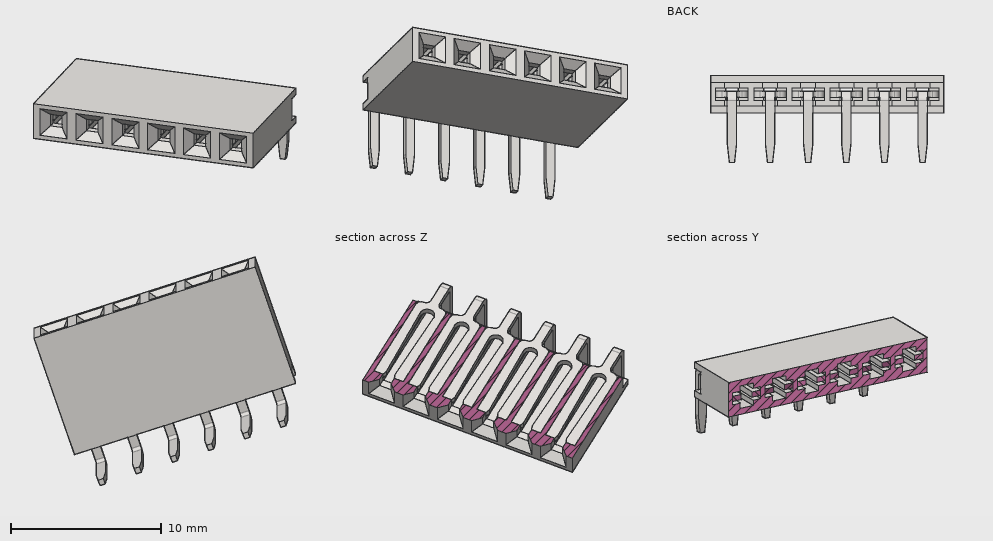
import cadquery as cq
import math


PIN_COUNT = 6
ROW_SPAN = 12.7
PITCH = ROW_SPAN / (PIN_COUNT - 1)
ROW_X = [i * PITCH - ROW_SPAN / 2 for i in range(PIN_COUNT)]

HOUSING_LENGTH = 15.54
HOUSING_DEPTH = 8.5
HOUSING_HEIGHT = 2.5
FRONT_WALL = 1.07
SLOT_DEPTH = 0.8
SLOT_HEIGHT = 1.57
SLOT_FLOOR_Y = HOUSING_DEPTH - SLOT_DEPTH
MOUTH_SIZE = 1.91
THROAT_SIZE = 0.82
FUNNEL_DEPTH = (MOUTH_SIZE - THROAT_SIZE) / 2

PIN_WIDTH = 0.64
PIN_THICKNESS = 0.4
REAR_Y = 10.2
TOTAL_HEIGHT = 5.8
BOTTOM_Z = HOUSING_HEIGHT / 2 - TOTAL_HEIGHT
BEND_RADIUS = 0.62
TIP_WIDTH = 0.35
TIP_LENGTH = 1.26

FLARE_START_Y = 8.19
FLARE_RADIUS = 0.34
SHOULDER_RADIUS = 0.42
ROOT_RADIUS = 0.5
BASE_THICKNESS = 0.4
LEAD_IN_LENGTH = 0.31
GRIP_GAP = PIN_WIDTH
LEAD_IN_GAP = THROAT_SIZE
FORK_FRONT_Y = FRONT_WALL
FORK_HALF_WIDTH = PIN_WIDTH / 2 + FLARE_RADIUS + SHOULDER_RADIUS

ARC_MIDDLE = math.sqrt(0.5)


def make_housing():
    housing = cq.Workplane("XY").box(
        HOUSING_LENGTH, HOUSING_DEPTH, HOUSING_HEIGHT, centered=(True, False, True)
    )
    rear_slot = (
        cq.Workplane("XY")
        .box(HOUSING_LENGTH, SLOT_DEPTH, SLOT_HEIGHT, centered=(True, False, True))
        .translate((0, SLOT_FLOOR_Y, 0))
    )
    housing = housing.cut(rear_slot)
    for x in ROW_X:
        housing = housing.cut(make_contact_opening().translate((x, 0, 0)))
    return housing


def make_contact_opening():
    """A square funnel and throat, then a chamber with a cross-shaped section, open to the slot."""
    funnel = (
        cq.Workplane("XZ")
        .rect(MOUTH_SIZE, MOUTH_SIZE)
        .workplane(offset=-FUNNEL_DEPTH)
        .rect(THROAT_SIZE, THROAT_SIZE)
        .loft(ruled=True)
    )
    throat = make_passage(THROAT_SIZE, THROAT_SIZE, 0)
    fork_chamber = make_passage(2 * FORK_HALF_WIDTH, THROAT_SIZE, FRONT_WALL)
    mating_chamber = make_passage(2 * ROOT_RADIUS, SLOT_HEIGHT, FRONT_WALL)
    return funnel.union(throat).union(fork_chamber).union(mating_chamber)


def make_passage(width, height, start_y):
    """A rectangular passage from start_y to the floor of the rear slot."""
    return (
        cq.Workplane("XY")
        .box(width, SLOT_FLOOR_Y - start_y, height, centered=(True, False, True))
        .translate((0, start_y, 0))
    )


def make_pin():
    return make_tail().union(make_fork())


def make_tail():
    """The flat shank, its downward bend and the tapered leg."""
    half_thickness = PIN_THICKNESS / 2
    front_y = REAR_Y - PIN_THICKNESS
    inner_radius = BEND_RADIUS - PIN_THICKNESS
    bend_y = REAR_Y - BEND_RADIUS
    bend_z = half_thickness - BEND_RADIUS
    strip = (
        cq.Workplane("YZ")
        .moveTo(FLARE_START_Y, half_thickness)
        .lineTo(bend_y, half_thickness)
        .threePointArc(
            (bend_y + BEND_RADIUS * ARC_MIDDLE, bend_z + BEND_RADIUS * ARC_MIDDLE),
            (REAR_Y, bend_z),
        )
        .lineTo(REAR_Y, BOTTOM_Z)
        .lineTo(front_y, BOTTOM_Z)
        .lineTo(front_y, bend_z)
        .threePointArc(
            (bend_y + inner_radius * ARC_MIDDLE, bend_z + inner_radius * ARC_MIDDLE),
            (bend_y, -half_thickness),
        )
        .lineTo(FLARE_START_Y, -half_thickness)
        .close()
        .extrude(PIN_WIDTH / 2, both=True)
    )
    outline = (
        cq.Workplane("XZ")
        .moveTo(-PIN_WIDTH / 2, half_thickness)
        .lineTo(-PIN_WIDTH / 2, BOTTOM_Z + TIP_LENGTH)
        .lineTo(-TIP_WIDTH / 2, BOTTOM_Z)
        .lineTo(TIP_WIDTH / 2, BOTTOM_Z)
        .lineTo(PIN_WIDTH / 2, BOTTOM_Z + TIP_LENGTH)
        .lineTo(PIN_WIDTH / 2, half_thickness)
        .close()
        .extrude(-REAR_Y)
    )
    return strip.intersect(outline)


def make_fork():
    """Two flat prongs that narrow towards their grip and open again in a lead-in at their tips."""
    half_shank = PIN_WIDTH / 2
    flare_x = half_shank + FLARE_RADIUS
    base_rear_y = FLARE_START_Y - FLARE_RADIUS
    shoulder_y = base_rear_y - SHOULDER_RADIUS
    root_y = base_rear_y - BASE_THICKNESS
    root_centre_y = root_y - ROOT_RADIUS
    half = (
        cq.Workplane("XY")
        .workplane(offset=-PIN_THICKNESS / 2)
        .moveTo(0, FLARE_START_Y)
        .lineTo(half_shank, FLARE_START_Y)
        .threePointArc(
            (flare_x - FLARE_RADIUS * ARC_MIDDLE, FLARE_START_Y - FLARE_RADIUS * ARC_MIDDLE),
            (flare_x, base_rear_y),
        )
        .threePointArc(
            (flare_x + SHOULDER_RADIUS * ARC_MIDDLE, shoulder_y + SHOULDER_RADIUS * ARC_MIDDLE),
            (FORK_HALF_WIDTH, shoulder_y),
        )
        .lineTo(FORK_HALF_WIDTH, FORK_FRONT_Y)
        .lineTo(LEAD_IN_GAP / 2, FORK_FRONT_Y)
        .lineTo(GRIP_GAP / 2, FORK_FRONT_Y + LEAD_IN_LENGTH)
        .lineTo(ROOT_RADIUS, root_centre_y)
        .threePointArc(
            (ROOT_RADIUS * ARC_MIDDLE, root_centre_y + ROOT_RADIUS * ARC_MIDDLE),
            (0, root_y),
        )
        .close()
        .extrude(PIN_THICKNESS)
    )
    return half.union(half.mirror("YZ"))


housing = make_housing()
pins = [make_pin().translate((x, 0, 0)) for x in ROW_X]
result = cq.Compound.makeCompound([housing.val(), *[pin.val() for pin in pins]])